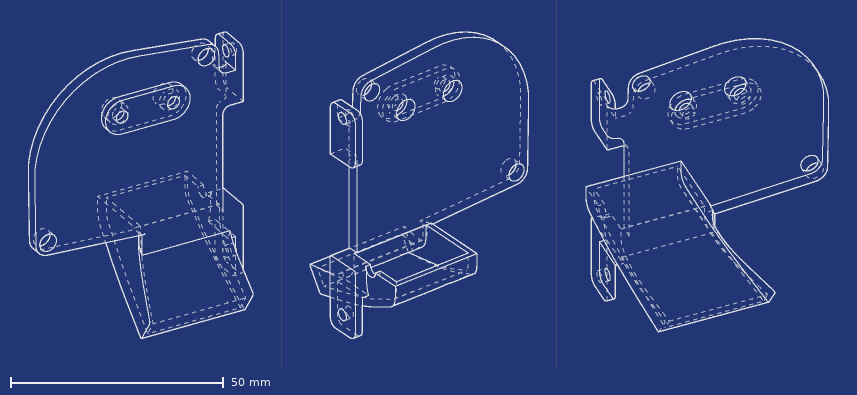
import cadquery as cq
import math


plate_thickness = 3.1
plate_left_y = -5.55
plate_upper_left_y = -6.6
plate_right_y = -56.65
plate_bottom_left_z = 17.9
big_arc_start = (-28.0, 67.6)
big_arc_middle = (-47.1, 62.4)
big_arc_end_z = 45.0
right_edge_bend_z = 39.6
corner_radius = 3.3
corner_hole_diameter = 4.5
upper_hole = (-10.05, 62.3)
lower_hole = (-53.05, 24.3)
upper_edge_angle = 83
lower_edge_angle = -93.6

pad_height = 1.9
pad_width = 9.0
pad_z = 53.7
pad_hole_ys = (-20.1, -34.05)
screw_diameter = 3.2
counterbore_diameter = 5.5
counterbore_depth = 3.1

tab_left_x = -6.5
tab_thickness = 2.1
tab_corner_radius = 2.05
tab_hole_diameter = 3.0
tab_hole_x = -1.55
upper_tab_bottom_z = 47.55
upper_tab_top_z = 62.5
upper_tab_hole_z = 59.55
tongue_top_z = 56.6
bend_radius = 2.0
lower_tab_bottom_z = 0.6
lower_tab_hole_z = 5.55
lower_block_bottom_z = 11.8
lower_block_edge_radius = 0.5
skirt_setback = 0.15
skirt_top_z = 19.25
skirt_bottom_z = 13.2

notch_radius = 1.9
notch_x = -8.0

wall = 1.5
frame_left_x = -17.6
frame_right_x = 1.6
frame_back_y = -3.3
frame_front_y = -27.7
frame_bottom_z = 16.95
frame_top_z = 19.8
outlet_back_y = -7.4
outlet_front_y = -35.55
outlet_edge_radius = 0.55
floor_outside = [(frame_left_x, frame_bottom_z), (-13.9, 12.15), (-6.65, 8.4), (3.1, 4.4), (16.55, -0.09)]
roof_outside = [(frame_right_x, frame_bottom_z), (3.1, 13.85), (5.8, 11.7), (11.9, 9.1), (20.75, 6.25)]
floor_inside = [(frame_left_x + wall, frame_bottom_z), (-12.9, 13.3), (-6.05, 9.8), (3.65, 5.8), (17.0, 1.2)]
roof_inside = [(frame_right_x - wall, frame_bottom_z), (2.0, 12.9), (5.1, 10.4), (11.4, 7.65), (19.55, 5.1)]


def polar(center, radius, degrees):
    """Point at an angle around a centre in the YZ plane."""
    angle = math.radians(degrees)
    return (center[0] + radius * math.cos(angle), center[1] + radius * math.sin(angle))


def box(x0, x1, y0, y1, z0, z1):
    return cq.Workplane("XY").box(x1 - x0, y1 - y0, z1 - z0, centered=False).translate((x0, y0, z0))


def plate():
    outline = (
        cq.Workplane("YZ")
        .moveTo(plate_left_y, plate_bottom_left_z)
        .lineTo(*polar(lower_hole, corner_radius, lower_edge_angle))
        .threePointArc(polar(lower_hole, corner_radius, -135), polar(lower_hole, corner_radius, 180))
        .lineTo(plate_right_y, right_edge_bend_z)
        .lineTo(plate_right_y, big_arc_end_z)
        .threePointArc(big_arc_middle, big_arc_start)
        .lineTo(*polar(upper_hole, corner_radius, upper_edge_angle))
        .threePointArc(polar(upper_hole, corner_radius, 45), polar(upper_hole, corner_radius, 0))
        .lineTo(plate_upper_left_y, tongue_top_z + bend_radius)
        .radiusArc((plate_upper_left_y + bend_radius, tongue_top_z), -bend_radius)
        .lineTo(0, tongue_top_z)
        .lineTo(0, upper_tab_bottom_z)
        .lineTo(plate_left_y + bend_radius, upper_tab_bottom_z)
        .radiusArc((plate_left_y, upper_tab_bottom_z - bend_radius), -bend_radius)
        .close()
    )
    holes = (
        cq.Workplane("YZ").pushPoints([upper_hole, lower_hole])
        .circle(corner_hole_diameter / 2).extrude(plate_thickness)
    )
    return outline.extrude(plate_thickness).cut(holes)


def add_screw_pad(body):
    spacing = pad_hole_ys[0] - pad_hole_ys[1]
    pad = (
        cq.Workplane("YZ", origin=(plate_thickness, sum(pad_hole_ys) / 2, pad_z))
        .slot2D(spacing + pad_width, pad_width).extrude(pad_height)
    )
    centers = cq.Workplane("YZ").pushPoints([(y, pad_z) for y in pad_hole_ys])
    bores = centers.circle(screw_diameter / 2).extrude(plate_thickness + pad_height)
    counterbores = centers.circle(counterbore_diameter / 2).extrude(counterbore_depth)
    return body.union(pad).cut(bores).cut(counterbores)


def tab(bottom_z, top_z):
    return (
        box(tab_left_x, plate_thickness, -tab_thickness, 0, bottom_z, top_z)
        .edges("|Y").fillet(tab_corner_radius)
    )


def lower_tab():
    """Tab thickened to a block at its top, level with the frame."""
    block = (
        box(tab_left_x, plate_thickness, plate_left_y, 0, lower_block_bottom_z, frame_top_z)
        .edges("|Y and >Z").fillet(lower_block_edge_radius)
    )
    return tab(lower_tab_bottom_z, frame_top_z).union(block)


def plate_skirt():
    """Lower part of the plate, joining it to the frame and the duct roof."""
    front_y = frame_front_y + skirt_setback
    return box(frame_right_x - wall, plate_thickness, front_y, plate_left_y, skirt_bottom_z, skirt_top_z)


def tab_hole(z):
    return cq.Workplane("XZ", origin=(tab_hole_x, 0, z)).circle(tab_hole_diameter / 2).extrude(tab_thickness)


def wall_notch():
    return (
        cq.Workplane("XZ", origin=(notch_x, frame_back_y, frame_top_z))
        .circle(notch_radius).extrude(wall)
    )


def bend_fillet():
    """Concave fillet between the upper tab and the plate."""
    return (
        cq.Workplane("XY", origin=(0, 0, upper_tab_bottom_z))
        .moveTo(0, -tab_thickness)
        .lineTo(-bend_radius, -tab_thickness)
        .radiusArc((0, -tab_thickness - bend_radius), bend_radius)
        .close()
        .extrude(tongue_top_z - upper_tab_bottom_z)
    )


def duct(floor, roof, inset):
    """Twisted duct; every corner edge lies in an upright plane from the frame to the outlet."""

    def corner_edge(profile, start_y, end_y):
        start_x = profile[0][0]
        slope = (end_y - start_y) / (profile[-1][0] - start_x)
        points = [cq.Vector(x, start_y + slope * (x - start_x), z) for x, z in profile]
        end_direction = points[-1] - points[-2]
        return cq.Edge.makeSpline(points, tangents=[cq.Vector(0, 0, -1), end_direction])

    back = (frame_back_y - inset, outlet_back_y - inset)
    front = (frame_front_y + inset, outlet_front_y + inset)
    edges = [
        corner_edge(floor, *back),
        corner_edge(floor, *front),
        corner_edge(roof, *front),
        corner_edge(roof, *back),
    ]
    faces = [cq.Face.makeRuledSurface(edges[i - 1], edges[i]) for i in range(4)]
    for end in (0, 1):
        corners = [edge.positionAt(end) for edge in edges]
        faces.append(cq.Face.makeFromWires(cq.Wire.makePolygon(corners, close=True)))
    return cq.Workplane(cq.Solid.makeSolid(cq.Shell.makeShell(faces)).fix())


def frame_block(inset):
    return box(
        frame_left_x + inset, frame_right_x - inset,
        frame_front_y + inset, frame_back_y - inset,
        frame_bottom_z, frame_top_z,
    )


body = add_screw_pad(plate())

body = body.union(tab(upper_tab_bottom_z, upper_tab_top_z)).union(bend_fillet())
body = body.cut(tab_hole(upper_tab_hole_z))

body = body.union(lower_tab()).union(plate_skirt())
outer_duct = duct(floor_outside, roof_outside, 0)
outer_duct = outer_duct.edges(">X or <Z").fillet(outlet_edge_radius)
body = body.union(frame_block(0)).union(outer_duct)
body = body.cut(frame_block(wall)).cut(duct(floor_inside, roof_inside, wall))
body = body.cut(tab_hole(lower_tab_hole_z)).cut(wall_notch())

result = body